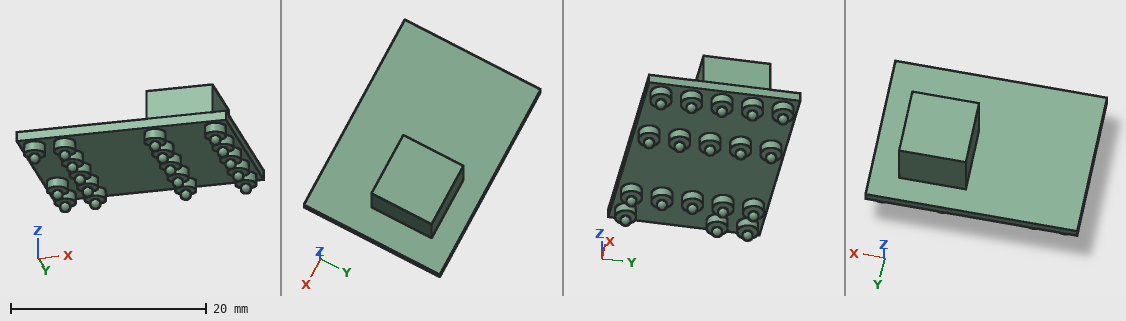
import cadquery as cq

board_length = 22.1
board_width = 15.75
board_thickness = 1.02

block_side = 6.96
block_height = 5.95
block_center_x = 4.55
block_center_y = 1.85

contact_pitch = 3.18
contact_columns = (-3, -2, 1, 3)
contact_rows = (-2, -1, 0, 1, 2)
empty_positions = ((-3, -1), (-3, 0))
pad_diameter = 2.17
pad_height = 1.0
ball_diameter = 1.05
total_height = 8.95
ball_bottom = board_thickness + block_height - total_height
ball_center_z = ball_bottom + ball_diameter / 2


def make_board():
    return cq.Workplane("XY").box(
        board_length, board_width, board_thickness, centered=(True, True, False)
    )


def make_block():
    return (
        cq.Workplane("XY", origin=(block_center_x, block_center_y, board_thickness))
        .rect(block_side, block_side)
        .extrude(block_height)
    )


def make_contact(x, y):
    pad = cq.Workplane("XY", origin=(x, y, 0)).circle(pad_diameter / 2).extrude(-pad_height)
    ball = cq.Workplane("XY", origin=(x, y, ball_center_z)).sphere(ball_diameter / 2)
    return pad.union(ball)


result = make_board().union(make_block())
for column in contact_columns:
    for row in contact_rows:
        if (column, row) not in empty_positions:
            result = result.union(make_contact(column * contact_pitch, row * contact_pitch))